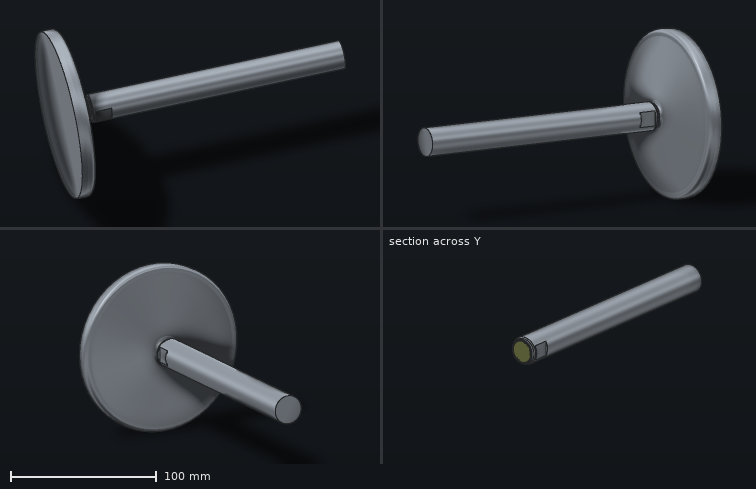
import cadquery as cq


foot_diameter = 117.98
ground_diameter = 117.0
taper_height = 4.1
rim_height = 10.05
rim_radius = 3.0
cone_base_diameter = 108.0
cone_top_height = 17.6
cone_top_diameter = 21.4
collar_height = 20.3
collar_diameter = 17.6
lip_height = 0.5
lip_overhang = 0.4
flare_radius = 3.0

ball_radius = 10.0
ball_center_height = 13.5

total_height = 202.0
stem_diameter = 20.0
stem_end_height = 21.9
stem_chamfer_width = 1.0
stem_chamfer_height = 0.6
flat_width = 17.0
flat_bottom = 23.75
flat_length = 11.7


def turn(profile):
    """Revolve a closed half profile about the Y axis."""
    return profile.revolve(360, (0, 0, 0), (0, 1, 0))


def make_ball():
    """Full ball on the axis, used for the stem end and for its socket."""
    return cq.Workplane("XY").sphere(ball_radius).translate((0, ball_center_height, 0))


def make_foot():
    """Disc with a tapered rim, a shallow cone, a flared collar and a ball socket."""
    foot_radius = foot_diameter / 2
    collar_radius = collar_diameter / 2
    profile = (
        cq.Workplane("XY")
        .moveTo(0, 0)
        .lineTo(ground_diameter / 2, 0)
        .lineTo(foot_radius, taper_height)
        .lineTo(foot_radius, rim_height - rim_radius)
        .radiusArc((foot_radius - rim_radius, rim_height), -rim_radius)
        .lineTo(cone_base_diameter / 2, rim_height)
        .lineTo(cone_top_diameter / 2, cone_top_height)
        .radiusArc((collar_radius - lip_overhang, collar_height - lip_height), flare_radius)
        .lineTo(collar_radius, collar_height)
        .lineTo(0, collar_height)
        .close()
    )
    return turn(profile).cut(make_ball())


def make_stem():
    """Round bar with a chamfered lower end, a ball below it and two wrench flats facing +X and -X."""
    stem_radius = stem_diameter / 2
    bar = turn(
        cq.Workplane("XY")
        .moveTo(0, stem_end_height)
        .lineTo(stem_radius - stem_chamfer_width, stem_end_height)
        .lineTo(stem_radius, stem_end_height + stem_chamfer_height)
        .lineTo(stem_radius, total_height)
        .lineTo(0, total_height)
        .close()
    )
    flat_cutter = cq.Workplane("XY").box(stem_diameter, flat_length, stem_diameter)
    cutter_offset = (flat_width + stem_diameter) / 2
    for side in (-1, 1):
        bar = bar.cut(flat_cutter.translate((side * cutter_offset, flat_bottom + flat_length / 2, 0)))
    return bar.union(make_ball())


foot = make_foot().solids()
stem = make_stem().solids()

result = cq.Compound.makeCompound([foot.val(), stem.val()])